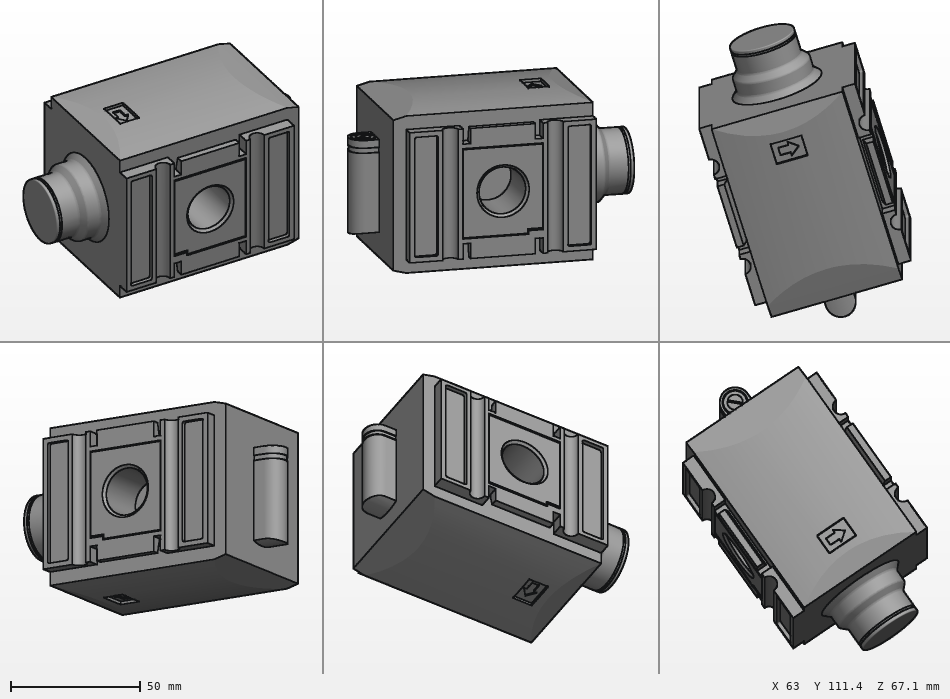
import cadquery as cq

body_width = 52.9
body_length = 75.0
edge_height = 63.0
crown_height = 67.1
end_slope_length = 8.5
cap_length = 5.1
cap_drop = 1.3

front_y = -body_length / 2
back_y = body_length / 2
cap_y = back_y + cap_length

overall_width = 63.0
plate_height = 52.2
plate_thickness = (overall_width - body_width) / 2
plate_x = overall_width / 2

round_groove_y = 21.1
round_groove_radius = 3.1

recess_y = 30.8
recess_width = 9.4
recess_height = 48.2
recess_depth = 1.8
recess_corner = 0.9

channel_length = 32.1
channel_depth = 6.1
tongue_length = 26.0
tongue_tip_thickness = 2.8
tongue_root_thickness = 4.2

moat_height = 36.1
moat_end_gap = 0.3
moat_side_gap = 0.1
moat_step_gap = 0.7
moat_depth = 0.3
moat_step_length = 5.7
moat_step_height = 1.5

port_radius = 9.4
port_chamfer = 1.1
port_depth = 22.3

neck_length = 20.5
flange_radius = 18.1
collar_radius = 15.6
collar_start = flange_radius - collar_radius
collar_end = 7.9
spigot_radius = 13.0
spigot_start = collar_end + collar_radius - spigot_radius
neck_blend = 1.1
ring_groove_start = 18.1
ring_groove_width = 0.9
ring_groove_depth = 0.1
spigot_round = 0.5

post_width = 11.9
post_radius = post_width / 2
post_length = 10.8
post_top = 17.1
post_bottom = -21.1
post_bottom_rise = 1.0
post_y = cap_y + post_length - post_radius
post_groove_top = 13.9
post_groove_height = 2.0
post_groove_depth = 0.3
screw_ring_radius = 4.9
screw_ring_width = 0.3
screw_ring_depth = 0.3
screw_radius = 3.0
screw_height = 0.2
screw_slot_width = 0.7
screw_slot_angle = -45

window_length = 12.5
window_width = 8.5
window_y = -21.4
window_depth = 1.3
arrow_depth = 0.7
arrow_tail_x = -3.9
arrow_neck_x = 0.2
arrow_tip_x = 4.0
arrow_shaft_half = 1.6
arrow_head_half = 2.9


def box(length_x, length_y, length_z, center):
    return cq.Workplane("XY").box(length_x, length_y, length_z).translate(center)


def make_body():
    half_width = body_width / 2
    half_edge = edge_height / 2
    half_crown = crown_height / 2
    half_cap = half_edge - cap_drop
    crowned = (
        cq.Workplane("XZ", origin=(0, cap_y, 0))
        .moveTo(-half_width, -half_edge)
        .threePointArc((0, -half_crown), (half_width, -half_edge))
        .lineTo(half_width, half_edge)
        .threePointArc((0, half_crown), (-half_width, half_edge))
        .close()
        .extrude(cap_y - front_y)
    )
    upper_side = [
        (front_y, half_edge),
        (front_y + end_slope_length, half_crown),
        (back_y - end_slope_length, half_crown),
        (back_y, half_edge),
        (cap_y, half_cap),
    ]
    lower_side = [(y, -z) for y, z in reversed(upper_side)]
    sloped_ends = (
        cq.Workplane("YZ")
        .polyline(upper_side + lower_side)
        .close()
        .extrude(half_width, both=True)
    )
    return crowned.intersect(sloped_ends)


def make_channel():
    """Material removed around the tongue in the upper edge of the +X plate."""
    top_z = plate_height / 2
    floor_z = top_z - channel_depth
    channel = box(
        plate_thickness, channel_length, channel_depth,
        (plate_x - plate_thickness / 2, 0, top_z - channel_depth / 2),
    )
    tongue = (
        cq.Workplane("XZ")
        .polyline([
            (plate_x, floor_z),
            (plate_x, top_z),
            (plate_x - tongue_tip_thickness, top_z),
            (plate_x - tongue_root_thickness, floor_z),
        ])
        .close()
        .extrude(tongue_length / 2, both=True)
    )
    return channel.cut(tongue)


def port_frame(side_gap, end_gap, step_gap):
    """Rectangle with one stepped corner around the port, shrunk by the gaps."""
    side = channel_length / 2 - side_gap
    end = moat_height / 2 - end_gap
    step_y = moat_step_length - channel_length / 2 + end_gap
    step_z = moat_step_height - moat_height / 2 + step_gap
    return (
        cq.Workplane("YZ", origin=(plate_x - moat_depth, 0, 0))
        .polyline([
            (-side, end),
            (side, end),
            (side, -end),
            (step_y, -end),
            (step_y, step_z),
            (-side, step_z),
        ])
        .close()
        .extrude(moat_depth)
    )


def make_plate():
    """Plate on the +X side, without its port."""
    plate = box(
        plate_thickness, body_length, plate_height,
        (plate_x - plate_thickness / 2, 0, 0),
    )
    for side in (-1, 1):
        round_groove = (
            cq.Workplane("XY")
            .center(plate_x, side * round_groove_y)
            .circle(round_groove_radius)
            .extrude(plate_height / 2, both=True)
        )
        recess = (
            box(
                recess_depth, recess_width, recess_height,
                (plate_x - recess_depth / 2, side * recess_y, 0),
            )
            .edges("|X")
            .fillet(recess_corner)
        )
        plate = plate.cut(round_groove).cut(recess)
    channel = make_channel()
    plate = plate.cut(channel).cut(channel.mirror("XY"))
    pad = port_frame(moat_side_gap, moat_end_gap, moat_step_gap)
    moat = port_frame(0, 0, 0).cut(pad)
    return plate.cut(moat)


def make_port():
    """Blind bore with a chamfered mouth, entering from +X."""
    return (
        cq.Workplane("XY")
        .polyline([
            (plate_x, 0),
            (plate_x, port_radius + port_chamfer),
            (plate_x - port_chamfer, port_radius),
            (plate_x - port_depth, port_radius),
            (plate_x - port_depth, 0),
        ])
        .close()
        .revolve(360, (0, 0, 0), (1, 0, 0))
    )


def make_neck():
    steps = [
        (0, 0),
        (flange_radius, 0),
        (collar_radius, collar_start),
        (collar_radius, collar_end),
        (spigot_radius, spigot_start),
        (spigot_radius, neck_length),
        (0, neck_length),
    ]
    profile = [(radius, front_y - offset) for radius, offset in steps]
    neck = (
        cq.Workplane("XY")
        .polyline(profile)
        .close()
        .revolve(360, (0, 0, 0), (0, 1, 0))
    )
    step_corners = cq.selectors.BoxSelector(
        (-spigot_radius / 2, front_y - spigot_start - neck_blend, -spigot_radius / 2),
        (spigot_radius / 2, front_y - collar_start / 2, spigot_radius / 2),
    )
    neck = neck.edges(step_corners).fillet(neck_blend)
    neck = neck.faces("<Y").edges().fillet(spigot_round)
    ring_groove = (
        cq.Workplane("XZ", origin=(0, front_y - ring_groove_start, 0))
        .circle(spigot_radius)
        .circle(spigot_radius - ring_groove_depth)
        .extrude(ring_groove_width)
    )
    return neck.cut(ring_groove)


def post_prism(inset, bottom_z, height):
    """Upright prism with a round outer end, narrowed all round by the inset."""
    radius = post_radius - inset
    return (
        cq.Workplane("XY", origin=(0, 0, bottom_z))
        .moveTo(-radius, cap_y)
        .lineTo(-radius, post_y)
        .threePointArc((0, post_y + radius), (radius, post_y))
        .lineTo(radius, cap_y)
        .close()
        .extrude(height)
    )


def make_post():
    post = post_prism(0, post_bottom, post_top - post_bottom)
    groove_z = post_groove_top - post_groove_height
    groove = post_prism(0, groove_z, post_groove_height).cut(
        post_prism(post_groove_depth, groove_z, post_groove_height)
    )
    rise_z = post_bottom + post_bottom_rise
    arched_underside = (
        cq.Workplane("XZ", origin=(0, cap_y, 0))
        .moveTo(-post_radius, rise_z)
        .threePointArc((0, post_bottom), (post_radius, rise_z))
        .lineTo(post_radius, post_top)
        .lineTo(-post_radius, post_top)
        .close()
        .extrude(-post_length)
    )
    screw_ring = (
        cq.Workplane("XY", origin=(0, post_y, post_top))
        .circle(screw_ring_radius)
        .circle(screw_ring_radius - screw_ring_width)
        .extrude(-screw_ring_depth)
    )
    screw_head = (
        cq.Workplane("XY", origin=(0, post_y, post_top))
        .circle(screw_radius)
        .extrude(screw_height)
    )
    screw_slot = (
        cq.Workplane("XY")
        .box(2 * screw_radius, screw_slot_width, screw_height)
        .rotate((0, 0, 0), (0, 0, 1), screw_slot_angle)
        .translate((0, post_y, post_top + screw_height / 2))
    )
    post = post.cut(groove).intersect(arched_underside)
    return post.cut(screw_ring).union(screw_head.cut(screw_slot))


def make_arrow_window():
    """Window sunk into the upper crown, with an arrow sunk into its floor."""
    floor_z = crown_height / 2 - window_depth
    window = box(
        window_length, window_width, window_depth,
        (0, window_y, floor_z + window_depth / 2),
    )
    upper_outline = [
        (arrow_tail_x, arrow_shaft_half),
        (arrow_neck_x, arrow_shaft_half),
        (arrow_neck_x, arrow_head_half),
    ]
    lower_outline = [(x, -y) for x, y in reversed(upper_outline)]
    arrow = (
        cq.Workplane("XY", origin=(0, window_y, floor_z))
        .polyline(upper_outline + [(arrow_tip_x, 0)] + lower_outline)
        .close()
        .extrude(-arrow_depth)
    )
    return window.union(arrow)


plate = make_plate()
port = make_port()
window = make_arrow_window()

result = make_body().union(make_neck()).union(make_post())
result = result.union(plate).union(plate.mirror("YZ"))
result = result.cut(port).cut(port.mirror("YZ"))
result = result.cut(window).cut(window.mirror("XY"))